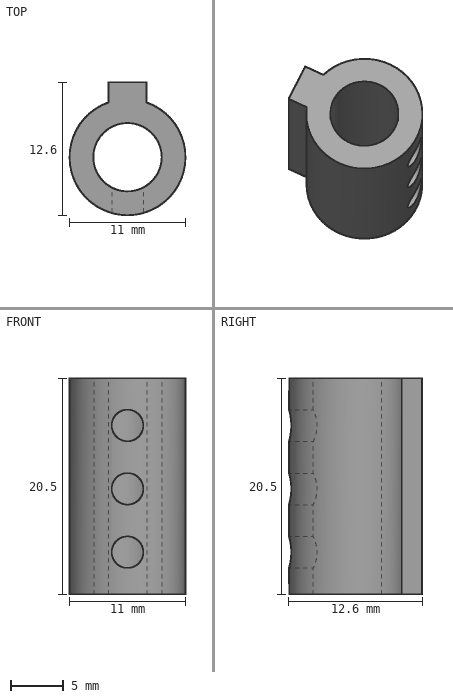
import cadquery as cq

length = 20.5
outer_diameter = 11.0
bore_diameter = 6.45

key_width = 3.6
key_reach = 7.11

hole_diameter = 3.0
hole_count = 3
hole_pitch = 6.0
lowest_hole_height = 4.0

outer_radius = outer_diameter / 2


def make_sleeve_body():
    """Solid cylinder with a full-length rectangular key."""
    cylinder = cq.Workplane("XY").circle(outer_radius).extrude(length)
    key = cq.Workplane("XY").box(key_width, key_reach, length, centered=(True, False, False))
    return cylinder.union(key)


def make_bore():
    return cq.Workplane("XY").circle(bore_diameter / 2).extrude(length)


def make_radial_hole(height):
    """Cutter running from outside the -Y wall to the bore axis."""
    return (
        cq.Workplane("XZ")
        .center(0, height)
        .circle(hole_diameter / 2)
        .extrude(outer_diameter)
    )


result = make_sleeve_body().cut(make_bore())
for index in range(hole_count):
    result = result.cut(make_radial_hole(lowest_hole_height + index * hole_pitch))